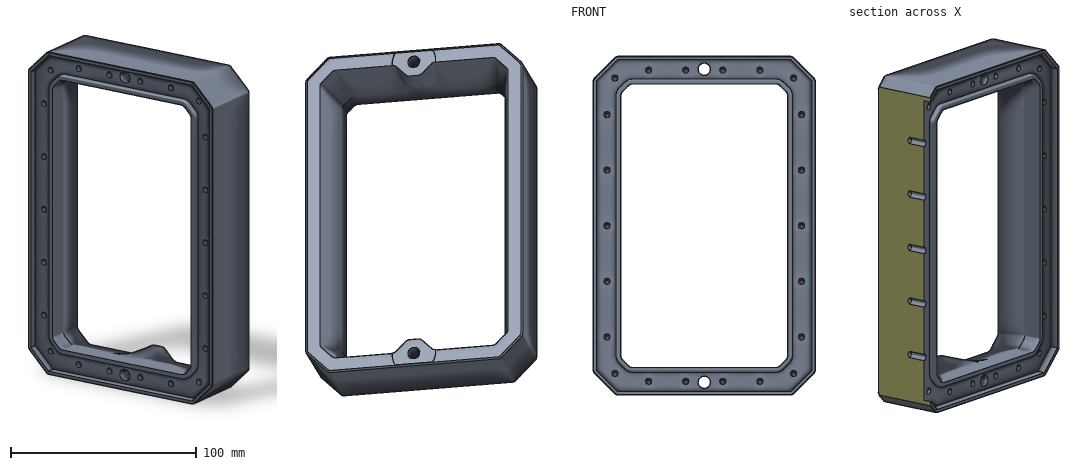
import cadquery as cq
import math

WIDTH = 120.0
HEIGHT = 183.0
BODY_DEPTH = 36.0
CORNER_CUT = 12.5
CORNER_ROUND = 3.0
BACK_CHAMFER_DEPTH = 0.5
BACK_CHAMFER_WIDTH = 1.0

LIP_THICKNESS = 1.9
LIP_DEPTH = 4.5
LIP_CHAMFER = 0.3

RIDGE_HEIGHT = 3.0
RIDGE_LAND = 1.75
RIDGE_ROUND = 0.9

OPENING_WIDTH = 90.0
OPENING_HEIGHT = 153.0
OPENING_CUT = 5.0
OPENING_ROUND = 3.5
STRAIGHT_END = 12.0
FLARE = 7.0
BACK_CUT = 7.5
BACK_ROUND = 3.5

BOSS_TOP_HALF = 3.7
BOSS_FOOT_HALF = BOSS_TOP_HALF + FLARE
PAD_DIAMETER = 24.0
PAD_HEIGHT = 0.5

BOLT_DIAMETER = 6.5
BOLT_Z = 84.5
SCREW_DIAMETER = 3.3
SCREW_DEPTH = 10.0
DRILL_POINT_ANGLE = 118.0
SIDE_SCREW_X = 52.5
SIDE_SCREW_PITCH = 30.0
SIDE_SCREW_STEPS = (-2, -1, 0, 1, 2)
END_SCREW_Z = 84.0
END_SCREW_X = (10.0, 30.0)
CORNER_SCREW_X = 48.25
CORNER_SCREW_Z = 79.75

DEPTH_DIRECTION = cq.Vector(0, 1, 0)
OVERSHOOT = 1.0


def growth_of_cut(offset):
    """Increase of a 45 degree corner cut when its rectangle is offset outwards."""
    return offset * (2 - math.sqrt(2))


def cut_corners(y, width, height, cut):
    """Eight corners, in order around Y, of a rectangle at depth y with 45 degree corner cuts."""
    x = width / 2
    z = height / 2
    quarter = [(x - cut, z), (x, z - cut)]
    right = quarter + [(px, -pz) for px, pz in reversed(quarter)]
    outline = right + [(-px, pz) for px, pz in reversed(right)]
    return [cq.Vector(px, y, pz) for px, pz in outline]


def corner_arc(before, corner, after, radius):
    """Start, middle and end of the arc that rounds a corner between two straight sides."""
    to_before = (before - corner).normalized()
    to_after = (after - corner).normalized()
    half_angle = to_before.getAngle(to_after) / 2
    tangent = radius / math.tan(half_angle)
    gap = radius / math.sin(half_angle) - radius
    middle = corner + (to_before + to_after).normalized() * gap
    return corner + to_before * tangent, middle, corner + to_after * tangent


def corner_arcs(corners, radius):
    count = len(corners)
    return [corner_arc(corners[i - 1], corners[i], corners[(i + 1) % count], radius) for i in range(count)]


def wire_through(spans):
    """Closed wire of spans joined by lines: a span is an arc of three points or a line of two."""
    edges = []
    for span, next_span in zip(spans, spans[1:] + spans[:1]):
        if len(span) == 3:
            edges.append(cq.Edge.makeThreePointArc(*span))
        else:
            edges.append(cq.Edge.makeLine(*span))
        edges.append(cq.Edge.makeLine(span[-1], next_span[0]))
    return cq.Wire.assembleEdges(edges)


def opening_arcs(y, offset=0.0):
    """Rounded corners of the opening's outline at depth y, grown outwards by offset."""
    cut = OPENING_CUT + growth_of_cut(offset)
    corners = cut_corners(y, OPENING_WIDTH + 2 * offset, OPENING_HEIGHT + 2 * offset, cut)
    return corner_arcs(corners, OPENING_ROUND + offset)


def extrude_back(wire, depth):
    return cq.Workplane(cq.Solid.extrudeLinear(wire, [], DEPTH_DIRECTION * depth))


def make_body():
    outline = wire_through(corner_arcs(cut_corners(0, WIDTH, HEIGHT, CORNER_CUT), CORNER_ROUND))
    body = extrude_back(outline, BODY_DEPTH)
    body = body.faces("<Y").edges().chamfer(LIP_CHAMFER)
    return body.faces(">Y").edges().chamfer(BACK_CHAMFER_DEPTH, BACK_CHAMFER_WIDTH)


def make_recess():
    """Space in front of the screw flange, enclosed by the lip."""
    cut = CORNER_CUT + growth_of_cut(-LIP_THICKNESS)
    corners = cut_corners(-OVERSHOOT, WIDTH - 2 * LIP_THICKNESS, HEIGHT - 2 * LIP_THICKNESS, cut)
    outline = cq.Wire.makePolygon(corners, close=True)
    return extrude_back(outline, LIP_DEPTH + OVERSHOOT)


def make_ridge():
    """Seal ridge on the flange, still solid across the opening."""
    outline = wire_through(opening_arcs(LIP_DEPTH - RIDGE_HEIGHT, RIDGE_LAND + RIDGE_ROUND))
    return extrude_back(outline, RIDGE_HEIGHT).faces("<Y").edges().fillet(RIDGE_ROUND)


def make_opening():
    """Straight front part of the opening."""
    return extrude_back(wire_through(opening_arcs(0)), STRAIGHT_END)


def boss_corners(side):
    """Corners of the trapezoid boss on the back face: side is 1 at the top end, -1 at the bottom."""
    land_z = OPENING_HEIGHT / 2
    foot_z = land_z + FLARE
    left_to_right = [
        (-BOSS_FOOT_HALF, foot_z),
        (-BOSS_TOP_HALF, land_z),
        (BOSS_TOP_HALF, land_z),
        (BOSS_FOOT_HALF, foot_z),
    ]
    return [cq.Vector(side * x, BODY_DEPTH, side * z) for x, z in left_to_right]


def flattened(arc):
    """Line where a boss round runs out into the straight opening."""
    z = math.copysign(OPENING_HEIGHT / 2, arc[0].z)
    return [cq.Vector(point.x, STRAIGHT_END, z) for point in (arc[0], arc[2])]


def make_flare():
    """Back part of the opening: it widens to the back face except at the two bosses."""
    back = cut_corners(BODY_DEPTH, OPENING_WIDTH + 2 * FLARE, OPENING_HEIGHT + 2 * FLARE, BACK_CUT)
    half = len(back) // 2
    top_boss = boss_corners(1)
    bottom_boss = boss_corners(-1)
    right = back[:half]
    left = back[half:]
    back_arcs = corner_arcs(top_boss + right + bottom_boss + left, BACK_ROUND)
    front_arcs = opening_arcs(STRAIGHT_END)

    boss_size = len(top_boss)
    bottom_start = boss_size + half
    top_lines = [flattened(arc) for arc in back_arcs[:boss_size]]
    bottom_lines = [flattened(arc) for arc in back_arcs[bottom_start:bottom_start + boss_size]]
    front_spans = top_lines + front_arcs[:half] + bottom_lines + front_arcs[half:]
    back_outline = wire_through(back_arcs)
    flare = cq.Workplane(cq.Solid.makeLoft([wire_through(front_spans), back_outline], True))
    return flare.union(extrude_back(back_outline, PAD_HEIGHT + OVERSHOOT))


def cylinder(x, z, start, end, diameter):
    """Cylinder along Y between depths start and end."""
    base = cq.Vector(x, start, z)
    return cq.Workplane(cq.Solid.makeCylinder(diameter / 2, end - start, base, DEPTH_DIRECTION))


def make_pad(z):
    """Low round pad around a through hole on the back face, trimmed to the body's outline."""
    pad = cylinder(0, z, BODY_DEPTH - PAD_HEIGHT, BODY_DEPTH + PAD_HEIGHT, PAD_DIAMETER)
    limit = cq.Workplane().box(WIDTH, 2 * (BODY_DEPTH + PAD_HEIGHT), HEIGHT - 2 * BACK_CHAMFER_WIDTH)
    return pad.intersect(limit)


def screw_positions():
    sides = [(SIDE_SCREW_X, step * SIDE_SCREW_PITCH) for step in SIDE_SCREW_STEPS]
    ends = [(x, side * END_SCREW_Z) for x in END_SCREW_X for side in (-1, 1)]
    corners = [(CORNER_SCREW_X, side * CORNER_SCREW_Z) for side in (-1, 1)]
    right_half = sides + ends + corners
    return right_half + [(-x, z) for x, z in right_half]


def make_screw_hole(x, z):
    """Blind hole from the flange with a conical drill point."""
    radius = SCREW_DIAMETER / 2
    bottom = LIP_DEPTH + SCREW_DEPTH
    point_height = radius / math.tan(math.radians(DRILL_POINT_ANGLE / 2))
    point = cq.Solid.makeCone(radius, 0, point_height, cq.Vector(x, bottom, z), DEPTH_DIRECTION)
    return cylinder(x, z, LIP_DEPTH - OVERSHOOT, bottom, SCREW_DIAMETER).union(cq.Workplane(point))


result = make_body().cut(make_recess())
result = result.union(make_ridge())
for bolt_z in (-BOLT_Z, BOLT_Z):
    result = result.union(make_pad(bolt_z))
result = result.cut(make_opening()).cut(make_flare())
for bolt_z in (-BOLT_Z, BOLT_Z):
    result = result.cut(cylinder(0, bolt_z, -OVERSHOOT, BODY_DEPTH + OVERSHOOT, BOLT_DIAMETER))
for screw_x, screw_z in screw_positions():
    result = result.cut(make_screw_hole(screw_x, screw_z))